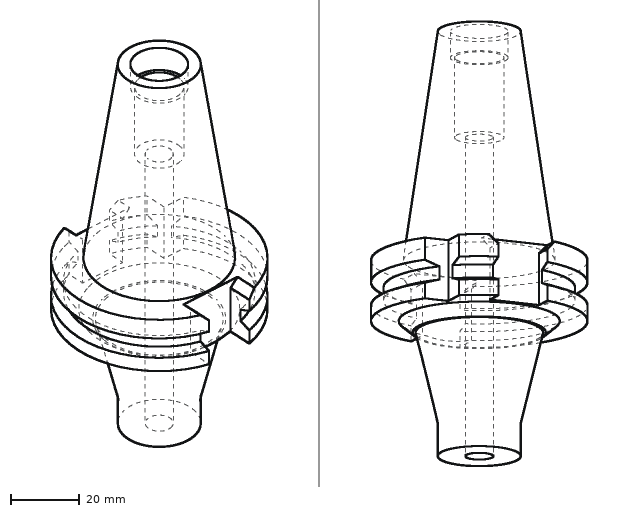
import cadquery as cq

total_height = 128.4
nose_top = 10.0
neck_top = 37.4
flange_bottom = 40.8
groove_bottom = 45.6
groove_floor_bottom = 47.0
groove_floor_top = 51.0
groove_top = 52.5
flange_top = 59.2
gauge_height = 60.2
flange_height = flange_top - flange_bottom

nose_radius = 12.2
neck_radius = 18.7
collar_foot_radius = 19.5
collar_radius = 23.6
flange_diameter = 63.5
flange_radius = flange_diameter / 2
groove_radius = 28.1
gauge_radius = 22.2
taper_end_radius = 12.2

pilot_radius = 8.5
pilot_depth = 8.0
thread_diameter = 14.5
thread_radius = thread_diameter / 2
thread_depth = 32.1
through_radius = 4.1

slot_width = 15.8
slot_chamfer = 2.7
left_slot_floor = 24.9
right_slot_floor = 22.6

notch_offset = 18.4


def make_body():
    outline = [
        (0, 0),
        (nose_radius, 0),
        (nose_radius, nose_top),
        (neck_radius, neck_top),
        (collar_foot_radius, neck_top),
        (collar_radius, flange_bottom),
        (flange_radius, flange_bottom),
        (flange_radius, groove_bottom),
        (groove_radius, groove_floor_bottom),
        (groove_radius, groove_floor_top),
        (flange_radius, groove_top),
        (flange_radius, flange_top),
        (gauge_radius, flange_top),
        (gauge_radius, gauge_height),
        (taper_end_radius, total_height),
        (0, total_height),
    ]
    return cq.Workplane("XZ").polyline(outline).close().revolve(360, (0, 0, 0), (0, 1, 0))


def bore_step(radius, depth):
    return cq.Workplane("XY").workplane(offset=total_height - depth).circle(radius).extrude(depth)


def drive_slot(floor_distance, side):
    """Slot through the flange and collar with chamfered upper edges; side is -1 for -X and +1 for +X."""
    half_width = slot_width / 2
    mouth_half_width = half_width + slot_chamfer
    chamfer_bottom = flange_top - slot_chamfer
    section = [
        (-half_width, neck_top),
        (half_width, neck_top),
        (half_width, chamfer_bottom),
        (mouth_half_width, flange_top),
        (-mouth_half_width, flange_top),
        (-half_width, chamfer_bottom),
    ]
    return (
        cq.Workplane("YZ")
        .workplane(offset=side * floor_distance)
        .polyline(section)
        .close()
        .extrude(side * (flange_radius - floor_distance))
    )


def orientation_notch():
    return (
        cq.Workplane("XY")
        .workplane(offset=flange_bottom)
        .moveTo(-notch_offset, notch_offset)
        .rect(-flange_radius, flange_radius, centered=False)
        .extrude(flange_height)
    )


result = make_body()
for radius, depth in [
    (pilot_radius, pilot_depth),
    (thread_radius, thread_depth),
    (through_radius, total_height),
]:
    result = result.cut(bore_step(radius, depth))
result = result.cut(drive_slot(left_slot_floor, -1))
result = result.cut(drive_slot(right_slot_floor, 1))
result = result.cut(orientation_notch())